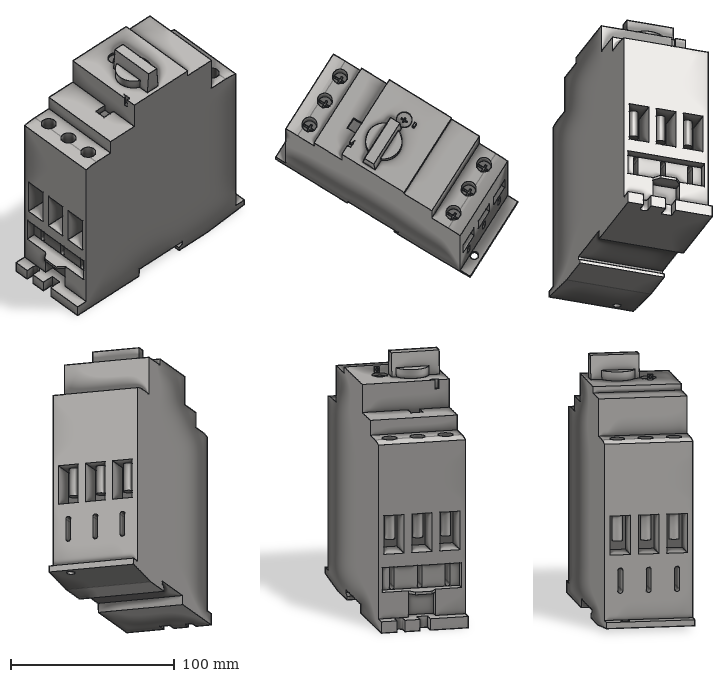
import cadquery as cq
import math


width = 54.8
base_length = 140.0
overall_height = 160.0
half_width = width / 2
base_end_y = base_length / 2

body_half_length = 62.8
base_height = 7.2
underside_slope_end_y = 38.9
underside_slope_rise = 3.4
shoulder_z = 117.9
shoulder_flat_end_y = 54.2
shoulder_drop = 1.15
step_half_length = 42.4
front_step_z = 127.3
rear_step_z = 141.1
top_half_length = 22.4
top_z = 145.0

rail_depth = 5.6
rail_front_y = -18.5
rail_front_draft = 0.5
rail_rear_y = 18.1
rail_lip_y = 15.1
rail_lip_height = 2.3
rail_lip_slope_height = 3.9

pole_pitch = 17.6
pole_xs = [-pole_pitch, 0.0, pole_pitch]
screw_y = 51.8
screw_head_diameter = 9.1
screw_well_depth = 12.0
screw_head_height = 6.0
screw_shank_diameter = 6.35
screw_shank_bottom_z = 54.7
drive_slot_width = 1.1
drive_slot_depth = 1.5
drive_cross_length = 5.0
wire_pocket_width = 12.7
wire_pocket_depth = 18.0
wire_pocket_bottom_z = 47.7
wire_pocket_top_z = 72.0

relief_width = 50.0
relief_bottom_z = 23.8
relief_top_z = 39.4
relief_depth = 5.8
through_slot_width = 3.0

latch_width = 17.2
latch_tip_width = 10.2
latch_reach = 4.4
latch_thickness = 1.7

flange_hole_x = 15.0
flange_hole_diameter = 5.0
flange_hole_from_end = 4.75
flange_slot_x = -15.0
flange_notch_x = 0.2
flange_notch_width = 6.6
flange_notch_depth = 7.5

handle_x = 9.7
handle_y = -4.5
handle_length = 30.1
handle_foot_thickness = 8.9
handle_top_thickness = 6.8
disc_x = 7.7
disc_diameter = 22.3
disc_height = 5.6

dial_x = -11.1
dial_y = -1.6
dial_diameter = 9.6
dial_depth = 1.5
dial_cross_length = 4.2
dial_cross_width = 3.0
dial_cross_line = 0.8
lug_y = 5.7
lug_width = 3.0
lug_thickness = 1.4
lug_height = 3.3
lug_hole_diameter = 1.6
mark_x = 19.7
mark_width = 2.4
mark_depth = 5.6
mark_rear_y = -20.2
mark_tip_x = 15.8
key_slot_x = 5.1
key_slot_width = 7.4
key_slot_length = 7.8
key_slot_depth = 4.0


def block(x_min, x_max, y_min, y_max, z_min, z_max):
    """Axis-aligned box between the given limits."""
    corner_box = cq.Workplane("XY").box(x_max - x_min, y_max - y_min, z_max - z_min, centered=False)
    return corner_box.translate((x_min, y_min, z_min))


def cylinder(x, y, diameter, z_min, z_max):
    """Upright cylinder between two heights."""
    return cq.Workplane("XY", origin=(x, y, z_min)).circle(diameter / 2).extrude(z_max - z_min)


def cross(x, y, x_length, y_length, line_width, z_top, depth):
    """Screwdriver cross that reaches down from z_top."""
    floor = cq.Workplane("XY", origin=(x, y, z_top - depth))
    return floor.rect(x_length, line_width).extrude(depth).union(floor.rect(line_width, y_length).extrude(depth))


def make_housing():
    """Stepped side outline extruded over the full width."""
    shoulder_run = body_half_length - shoulder_flat_end_y
    shoulder_radius = (shoulder_run**2 + shoulder_drop**2) / (2 * shoulder_drop)
    half_angle = math.asin(shoulder_run / shoulder_radius) / 2
    arc_mid_y = shoulder_flat_end_y + shoulder_radius * math.sin(half_angle)
    arc_mid_z = shoulder_z - shoulder_radius * (1 - math.cos(half_angle))
    arc_end_z = shoulder_z - shoulder_drop
    outline = (
        cq.Workplane("YZ", origin=(-half_width, 0, 0))
        .moveTo(-base_end_y, 0)
        .lineTo(rail_front_y, 0)
        .lineTo(rail_front_y + rail_front_draft, rail_depth)
        .lineTo(rail_rear_y, rail_depth)
        .lineTo(rail_rear_y, rail_lip_slope_height)
        .lineTo(rail_lip_y, rail_lip_height)
        .lineTo(rail_lip_y, 0)
        .lineTo(underside_slope_end_y, 0)
        .lineTo(base_end_y, underside_slope_rise)
        .lineTo(base_end_y, base_height)
        .lineTo(body_half_length, base_height)
        .lineTo(body_half_length, arc_end_z)
        .threePointArc((arc_mid_y, arc_mid_z), (shoulder_flat_end_y, shoulder_z))
        .lineTo(step_half_length, shoulder_z)
        .lineTo(step_half_length, rear_step_z)
        .lineTo(top_half_length, rear_step_z)
        .lineTo(top_half_length, top_z)
        .lineTo(-top_half_length, top_z)
        .lineTo(-top_half_length, front_step_z)
        .lineTo(-step_half_length, front_step_z)
        .lineTo(-step_half_length, shoulder_z)
        .lineTo(-shoulder_flat_end_y, shoulder_z)
        .threePointArc((-arc_mid_y, arc_mid_z), (-body_half_length, arc_end_z))
        .lineTo(-body_half_length, base_height)
        .lineTo(-base_end_y, base_height)
        .close()
    )
    return outline.extrude(width)


def cut_terminal(body, x, side):
    """One terminal at the front (side -1) or rear (side 1) end wall."""
    y = side * screw_y
    head_top_z = shoulder_z - screw_well_depth
    inner_y = side * (body_half_length - wire_pocket_depth)
    outer_y = side * body_half_length
    pocket_left_x = x - wire_pocket_width / 2
    pocket_right_x = x + wire_pocket_width / 2
    pocket = block(
        pocket_left_x, pocket_right_x, min(inner_y, outer_y), max(inner_y, outer_y),
        wire_pocket_bottom_z, wire_pocket_top_z,
    )
    well = cylinder(x, y, screw_head_diameter, head_top_z, shoulder_z)
    drive = cross(
        x, y, drive_cross_length, screw_head_diameter, drive_slot_width, head_top_z, drive_slot_depth
    )
    shank = cylinder(x, y, screw_shank_diameter, screw_shank_bottom_z, head_top_z - screw_head_height)
    return body.cut(pocket).cut(well).cut(drive).union(shank)


def cut_front_relief(body):
    """Wide relief in the front wall and one through slot per pole."""
    wall_y = -body_half_length
    relief = block(
        -relief_width / 2, relief_width / 2, wall_y, wall_y + relief_depth, relief_bottom_z, relief_top_z
    )
    slot_height = relief_top_z - relief_bottom_z
    slot_mid_z = (relief_top_z + relief_bottom_z) / 2
    slots = (
        cq.Workplane("XZ", origin=(0, body_half_length, slot_mid_z))
        .pushPoints([(x, 0) for x in pole_xs])
        .slot2D(slot_height, through_slot_width, 90)
        .extrude(2 * body_half_length)
    )
    return body.cut(relief).cut(slots)


def add_latch(body):
    """Recess in the front wall, roofed by a plate that tapers toward its tip."""
    wall_y = -body_half_length
    recess = block(
        -latch_width / 2, latch_width / 2, wall_y, wall_y + relief_depth, base_height, relief_bottom_z
    )
    plate = (
        cq.Workplane("XY", origin=(0, wall_y, relief_bottom_z - latch_thickness))
        .moveTo(-latch_width / 2, relief_depth)
        .lineTo(-latch_width / 2, 0)
        .lineTo(-latch_tip_width / 2, -latch_reach)
        .lineTo(latch_tip_width / 2, -latch_reach)
        .lineTo(latch_width / 2, 0)
        .lineTo(latch_width / 2, relief_depth)
        .close()
        .extrude(latch_thickness)
    )
    return body.cut(recess).union(plate)


def cut_base_flange(body):
    """Round hole at the rear, open slot and square notch at the front."""
    hole_y = base_end_y - flange_hole_from_end
    slot_radius = flange_hole_diameter / 2
    hole = cylinder(flange_hole_x, hole_y, flange_hole_diameter, 0, base_height)
    slot_end = cylinder(flange_slot_x, -hole_y, flange_hole_diameter, 0, base_height)
    slot = block(
        flange_slot_x - slot_radius, flange_slot_x + slot_radius, -base_end_y, -hole_y, 0, base_height
    )
    notch_left_x = flange_notch_x - flange_notch_width / 2
    notch = block(
        notch_left_x, notch_left_x + flange_notch_width,
        -base_end_y, -base_end_y + flange_notch_depth, 0, base_height,
    )
    return body.cut(hole).cut(slot_end).cut(slot).cut(notch)


def make_handle():
    """Disc with a grip that narrows toward the top."""
    disc = cylinder(disc_x, handle_y, disc_diameter, top_z, top_z + disc_height)
    foot = handle_foot_thickness / 2
    tip = handle_top_thickness / 2
    grip = (
        cq.Workplane("YZ", origin=(handle_x - handle_length / 2, handle_y, 0))
        .polyline([(-foot, top_z), (foot, top_z), (tip, overall_height), (-tip, overall_height)])
        .close()
        .extrude(handle_length)
    )
    return disc.union(grip)


def cut_dial(body):
    """Shallow round recess with a screwdriver cross in its floor."""
    floor_z = top_z - dial_depth
    recess = cylinder(dial_x, dial_y, dial_diameter, floor_z, top_z)
    drive = cross(dial_x, dial_y, dial_cross_width, dial_cross_length, dial_cross_line, floor_z, dial_depth)
    return body.cut(recess).cut(drive)


def make_lug():
    """Small upright plate with a hole through it."""
    plate = block(
        dial_x - lug_width / 2, dial_x + lug_width / 2,
        lug_y - lug_thickness / 2, lug_y + lug_thickness / 2, top_z, top_z + lug_height,
    )
    hole = (
        cq.Workplane("XZ", origin=(dial_x, lug_y + lug_thickness / 2, top_z + lug_height / 2))
        .circle(lug_hole_diameter / 2)
        .extrude(lug_thickness)
    )
    return plate.cut(hole)


def cut_index_mark(body):
    """Notch in the front top edge with a pointed flag beside it."""
    left_x = mark_x - mark_width / 2
    notch = block(
        left_x, left_x + mark_width, -top_half_length, mark_rear_y, top_z - mark_depth, top_z
    )
    flag_front_y = (mark_rear_y - top_half_length) / 2
    flag = (
        cq.Workplane("XY", origin=(0, 0, top_z - mark_depth))
        .polyline([(mark_tip_x, mark_rear_y), (left_x, mark_rear_y), (left_x, flag_front_y)])
        .close()
        .extrude(mark_depth)
    )
    return body.cut(notch).cut(flag)


def cut_key_slot(body):
    """Rectangular pocket in the front step, against the upper wall."""
    slot = block(
        key_slot_x - key_slot_width / 2, key_slot_x + key_slot_width / 2,
        -top_half_length - key_slot_length, -top_half_length,
        front_step_z - key_slot_depth, front_step_z,
    )
    return body.cut(slot)


housing = make_housing()
for pole_x in pole_xs:
    for end_side in (-1, 1):
        housing = cut_terminal(housing, pole_x, end_side)
housing = cut_front_relief(housing)
housing = add_latch(housing)
housing = cut_base_flange(housing)
housing = cut_dial(housing)
housing = cut_index_mark(housing)
housing = cut_key_slot(housing)
result = housing.union(make_handle()).union(make_lug())